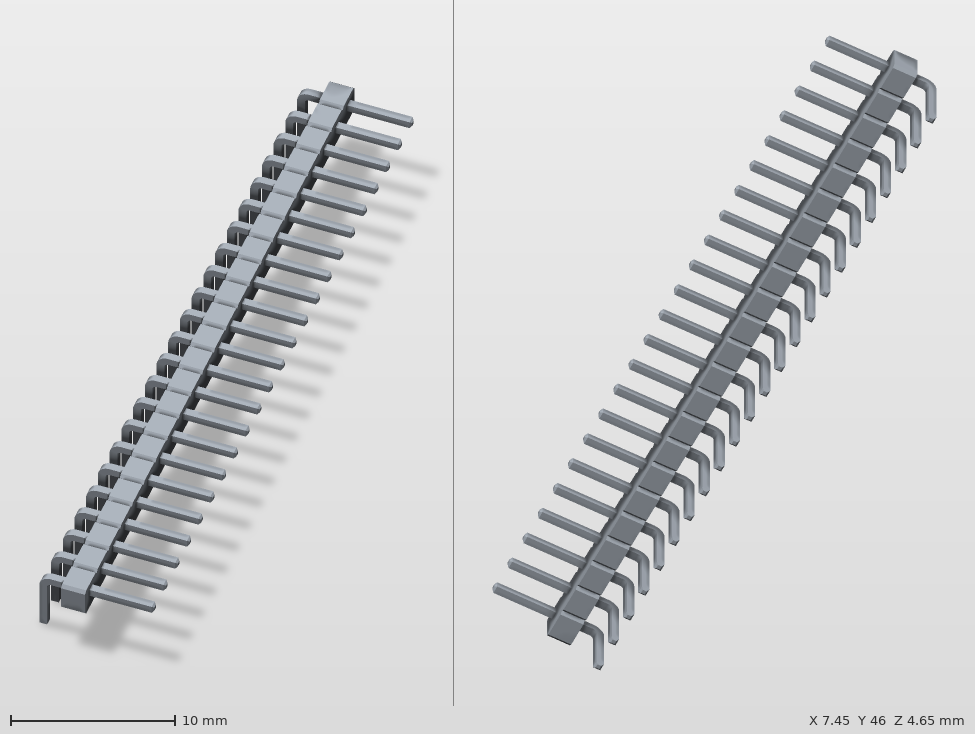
import cadquery as cq


pin_count = 23
row_length = 46.0
pitch = row_length / pin_count

housing_depth = 1.55
housing_height = pitch
segment_chamfer = 0.2

pin_size = 0.5
pin_reach = 7.45
bend_inner_radius = 0.25
bend_outer_radius = bend_inner_radius + pin_size
tip_chamfer = 0.13

housing_start = 1.7
overall_height = 4.65
pin_axis_rise = 0.258
pin_top = pin_axis_rise + pin_size / 2 - housing_height / 2
pin_bottom = pin_top - pin_size
bend_start = pin_top - bend_outer_radius


def make_segment(y_center):
    """Housing segment with its four X-direction edges chamfered."""
    return (
        cq.Workplane("XY")
        .box(housing_depth, pitch, housing_height)
        .edges("|X")
        .chamfer(segment_chamfer)
        .translate((housing_start + housing_depth / 2, y_center, -housing_height / 2))
    )


def make_pin(y_center):
    """Square pin bent through 90 degrees, tapered at both tips."""
    return (
        cq.Workplane("XZ")
        .moveTo(0, -overall_height)
        .lineTo(0, bend_start)
        .radiusArc((bend_outer_radius, pin_top), bend_outer_radius)
        .lineTo(pin_reach, pin_top)
        .lineTo(pin_reach, pin_bottom)
        .lineTo(bend_outer_radius, pin_bottom)
        .radiusArc((pin_size, bend_start), -bend_inner_radius)
        .lineTo(pin_size, -overall_height)
        .close()
        .extrude(pin_size / 2, both=True)
        .faces(">X or <Z")
        .chamfer(tip_chamfer)
        .translate((0, y_center, 0))
    )


result = cq.Workplane("XY")
for index in range(pin_count):
    y_center = (index + 0.5) * pitch - row_length / 2
    result = result.union(make_segment(y_center)).union(make_pin(y_center))